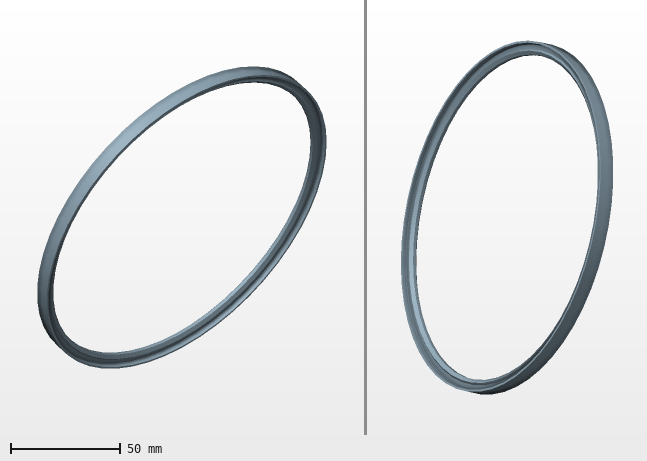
import cadquery as cq

outer_diameter = 163.0
rim_inner_diameter = 161.0
lip_root_diameter = 156.0
lip_crest_diameter = 154.2
bore_diameter = 151.0

rim_width = 7.0
lip_width = 4.0
web_thickness = 2.3
bore_width = 1.6

corner_height = 0.3
corner_start_width = 3.5

side_profile = [
    (rim_width / 2, outer_diameter / 2),
    (rim_width / 2, rim_inner_diameter / 2),
    (corner_start_width / 2, rim_inner_diameter / 2),
    (web_thickness / 2, rim_inner_diameter / 2 - corner_height),
    (web_thickness / 2, lip_root_diameter / 2),
    (lip_width / 2, lip_crest_diameter / 2),
    (bore_width / 2, bore_diameter / 2),
]
mirrored_profile = [(-x, radius) for x, radius in reversed(side_profile)]

section = cq.Workplane("XY").polyline(side_profile + mirrored_profile).close()
result = section.revolve(360, (0, 0, 0), (1, 0, 0))